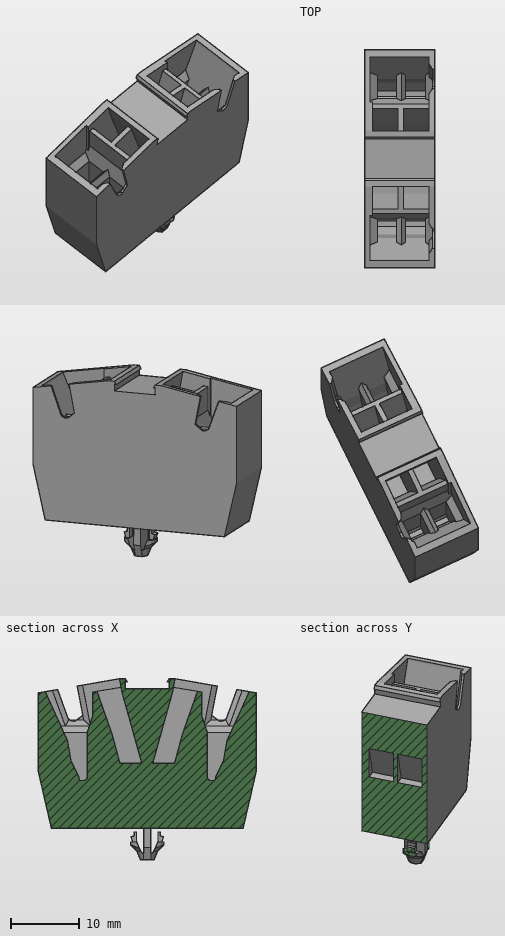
import cadquery as cq

WIDTH = 10.3
HALF_WIDTH = WIDTH / 2
HALF_LENGTH = 16.0
HALF_BASE = 14.08
TAPER_TOP = 8.32
SHOULDER = 19.9
HEIGHT = 22.0
FLAT_EDGE = 4.1
TROUGH_HALF = 3.2
TROUGH_FLOOR = 20.5
LIP_REACH = 0.3
LIP_DROP = 0.48

INNER_RIGHT = 4.3
CELL_LEFT = -3.97
ENTRY_LEFT = -4.4
RIB_LEFT, RIB_RIGHT = -0.22, 0.55
RIB_DEPTH = 1.28
CROSS_WALL_IN = 7.35
CELL_FLOOR = 9.6
CELL_KNEE = (3.7, 19.95)
CELL_FLOOR_IN = 0.83
CELL_RAMP_KNEE = (5.12, 13.75)
CELL_FLOOR_OUT = 4.0

ENTRY_STEP = 8.32
ENTRY_EDGE = 14.9
ENTRY_SLANT_TOP = (14.8, 19.78)
ENTRY_SLANT_END = (11.68, 12.85)
WALL_BEND = (8.03, 16.48)
WALL_LEAN_END = (8.83, 14.08)
RIDGE_X, RIDGE_TOP = 0.22, 15.0
THROAT_TOP = WALL_LEAN_END[1]
LEFT_THROAT = (-3.3, -0.45)
RIGHT_THROAT = (0.85, 3.78)

THROAT_BOTTOM = [(11.17, 9.92), (10.05, 7.6), (9.92, 7.05), (9.15, 7.05), (8.83, 7.35)]

NOTCH_MOUTH_X = 4.8
NOTCH_FLARE = 0.83
NOTCH_TOP_OUT = (13.15, 20.4)
NOTCH_LOW_OUT = (11.75, 16.55)
NOTCH_ARC_MIDDLE = (11.4, 15.95)
NOTCH_ARC_END = (10.6, 15.75)
NOTCH_LOW_IN = (9.47, 16.6)
NOTCH_TOP_IN = (10.3, 20.93)

FOOT_X = 2.55
FOOT_LENGTH = 4.6
STEM_THICKNESS = 1.1
STEM_HALF_WIDTH = 1.6
STEM_TAPER_START = 2.8
STEM_TIP_HALF = 1.0
TIP_RADIUS = 1.02
ARM_KNEE_RADIUS, ARM_KNEE = 1.55, 3.35
ARROW_RADIUS, BARB_TOP = 2.85, 2.0
ARM_SPAN = 4.93
ARM_INNER = [(0.7, 3.6), (1.0, 3.25), (1.57, 1.92)]
TAB_WIDTH = 1.3
TAB_OUTLINE = [(1.57, 2.1), (1.57, 0.5), (1.92, 0.5), (1.92, 1.05), (2.4, 1.2), (2.1, 2.1)]

CLEARANCE = 1.6
ABOVE = HEIGHT + CLEARANCE


def roof(y):
    """Height of the sloping roof at a distance y from the middle."""
    return HEIGHT - (HEIGHT - SHOULDER) * (y - FLAT_EDGE) / (HALF_LENGTH - FLAT_EDGE)


def along(start, end, level):
    """First coordinate of the line from start to end where the second one is level."""
    return start[0] + (end[0] - start[0]) * (level - start[1]) / (end[1] - start[1])


def prism(points, x_start, x_end):
    """Closed YZ outline extruded from x_start to x_end."""
    plane = cq.Workplane("YZ", origin=(x_start, 0, 0))
    return plane.polyline(points).close().extrude(x_end - x_start)


def mirrored_pair(half):
    return half.union(half.mirror("XZ"))


def housing():
    lip_z = HEIGHT - LIP_DROP
    half = [
        (HALF_BASE, 0),
        (HALF_LENGTH, TAPER_TOP),
        (HALF_LENGTH, SHOULDER),
        (FLAT_EDGE, HEIGHT),
        (TROUGH_HALF, HEIGHT),
        (TROUGH_HALF - LIP_REACH, lip_z),
        (TROUGH_HALF, lip_z),
        (TROUGH_HALF, TROUGH_FLOOR),
    ]
    other_half = [(-y, z) for y, z in reversed(half)]
    return prism(half + other_half, -HALF_WIDTH, HALF_WIDTH)


def screwdriver_cells():
    """Two leaning cells beside the crown, joined by the opening above the rib."""
    crown_edge = (FLAT_EDGE, HEIGHT)
    cell = [
        crown_edge,
        CELL_KNEE,
        (CELL_FLOOR_IN, CELL_FLOOR),
        (CELL_FLOOR_OUT, CELL_FLOOR),
        CELL_RAMP_KNEE,
        (CROSS_WALL_IN, roof(CROSS_WALL_IN) - RIB_DEPTH),
        (CROSS_WALL_IN, ABOVE),
        (FLAT_EDGE, ABOVE),
    ]
    rib_z = HEIGHT - RIB_DEPTH
    opening = [
        crown_edge,
        (along(crown_edge, CELL_KNEE, rib_z), rib_z),
        (WALL_BEND[0], roof(WALL_BEND[0]) - RIB_DEPTH),
        (WALL_BEND[0], ABOVE),
        (FLAT_EDGE, ABOVE),
    ]
    cells = prism(cell, CELL_LEFT, RIB_LEFT).union(prism(cell, RIB_RIGHT, INNER_RIGHT))
    return cells.union(prism(opening, CELL_LEFT, INNER_RIGHT))


def slant_y(z):
    """Y of the slanted outer wall of the wire entry at height z."""
    return along(ENTRY_SLANT_END, ENTRY_SLANT_TOP, z)


def lean_y(z):
    """Y of the leaning part of the cross wall at height z."""
    return along(WALL_LEAN_END, WALL_BEND, z)


def funnel(top_x, throat_x):
    """Tapered funnel from the ridge height down to a throat, with the throat below it."""
    def rectangle(x_range, z):
        x_low, x_high = x_range
        y_in, y_out = lean_y(z), slant_y(z)
        corners = [(x_low, y_in), (x_high, y_in), (x_high, y_out), (x_low, y_out)]
        return cq.Wire.makePolygon([cq.Vector(x, y, z) for x, y in corners], close=True)

    sections = [rectangle(top_x, RIDGE_TOP), rectangle(throat_x, THROAT_TOP)]
    taper = cq.Workplane(cq.Solid.makeLoft(sections, True))
    throat = [WALL_LEAN_END, (slant_y(THROAT_TOP), THROAT_TOP), ENTRY_SLANT_END] + THROAT_BOTTOM
    return taper.union(prism(throat, *throat_x))


def wire_entry():
    """Deep pocket at the outer end that splits into two funnels."""
    outer_wall = [
        (slant_y(RIDGE_TOP), RIDGE_TOP),
        ENTRY_SLANT_TOP,
        (ENTRY_EDGE, roof(ENTRY_EDGE)),
        (ENTRY_EDGE, ABOVE),
    ]
    ridge_in = (lean_y(RIDGE_TOP), RIDGE_TOP)
    pocket = prism(outer_wall + [(WALL_BEND[0], ABOVE), WALL_BEND, ridge_in], CELL_LEFT, INNER_RIGHT)
    step_z = along(WALL_BEND[::-1], WALL_LEAN_END[::-1], ENTRY_STEP)
    step = [(ENTRY_STEP, ABOVE), (ENTRY_STEP, step_z), ridge_in]
    recess = prism(outer_wall + step, ENTRY_LEFT, CELL_LEFT)
    left = funnel((ENTRY_LEFT, RIDGE_X), LEFT_THROAT)
    right = funnel((RIDGE_X, INNER_RIGHT), RIGHT_THROAT)
    return pocket.union(recess).union(left).union(right)


def side_notch():
    """Notch through the +X wall, flared inwards and bottomed by the funnel side inside."""
    heights = [THROAT_TOP, ABOVE]
    out_low, out_high = [along(NOTCH_LOW_OUT, NOTCH_TOP_OUT, z) for z in heights]
    in_low, in_high = [along(NOTCH_LOW_IN, NOTCH_TOP_IN, z) for z in heights]

    def flare_section(x, margin):
        corners = [
            (out_high + margin, ABOVE),
            (out_low + margin, THROAT_TOP),
            (in_low - margin, THROAT_TOP),
            (in_high - margin, ABOVE),
        ]
        return cq.Wire.makePolygon([cq.Vector(x, y, z) for y, z in corners], close=True)

    sections = [flare_section(INNER_RIGHT, NOTCH_FLARE), flare_section(NOTCH_MOUTH_X, 0)]
    flare = cq.Workplane(cq.Solid.makeLoft(sections, True))
    funnel_rise = (RIDGE_TOP - THROAT_TOP) / (INNER_RIGHT - RIGHT_THROAT[1])
    sill_z = THROAT_TOP + funnel_rise * (NOTCH_MOUTH_X - RIGHT_THROAT[1])
    above_funnel_outline = [
        (INNER_RIGHT, RIDGE_TOP),
        (NOTCH_MOUTH_X, sill_z),
        (NOTCH_MOUTH_X, ABOVE),
        (INNER_RIGHT, ABOVE),
    ]
    above_funnel = (
        cq.Workplane("XZ")
        .polyline(above_funnel_outline)
        .close()
        .extrude(-HALF_LENGTH)
    )
    mouth = (
        cq.Workplane("YZ", origin=(NOTCH_MOUTH_X, 0, 0))
        .moveTo(out_high, ABOVE)
        .lineTo(*NOTCH_LOW_OUT)
        .threePointArc(NOTCH_ARC_MIDDLE, NOTCH_ARC_END)
        .lineTo(*NOTCH_LOW_IN)
        .lineTo(in_high, ABOVE)
        .close()
        .extrude(HALF_WIDTH - NOTCH_MOUTH_X)
    )
    return flare.intersect(above_funnel).union(mouth)


def snap_foot():
    """Tapered stem with a conical arrow tip and two barbed spring arms."""
    stem_half = [
        (STEM_HALF_WIDTH, 0),
        (STEM_HALF_WIDTH, -STEM_TAPER_START),
        (STEM_TIP_HALF, -FOOT_LENGTH),
    ]
    stem_outline = stem_half + [(-x, z) for x, z in reversed(stem_half)]
    foot_plane = cq.Workplane("XZ", origin=(FOOT_X, 0, 0))
    stem = foot_plane.polyline(stem_outline).close().extrude(STEM_THICKNESS / 2, both=True)

    arrow = [
        (0, -FOOT_LENGTH),
        (TIP_RADIUS, -FOOT_LENGTH),
        (ARM_KNEE_RADIUS, -ARM_KNEE),
        (ARROW_RADIUS, -BARB_TOP),
        (0, -BARB_TOP),
    ]
    head = foot_plane.polyline(arrow).close().revolve(360, (0, 0), (0, 1))
    footprint = (
        cq.Workplane("XY", origin=(FOOT_X, 0, -FOOT_LENGTH))
        .slot2D(ARM_SPAN, 2 * STEM_HALF_WIDTH, 90)
        .extrude(FOOT_LENGTH)
    )
    head = head.intersect(footprint)

    stem_side = STEM_THICKNESS / 2
    gap_half = [(stem_side, -FOOT_LENGTH), (stem_side, -ARM_INNER[0][1])]
    gap_half += [(y, -depth) for y, depth in ARM_INNER]
    gap_half.append((ARM_INNER[-1][0], 0))
    gap = gap_half + [(-y, z) for y, z in reversed(gap_half)]
    head = head.cut(prism(gap, FOOT_X - ARROW_RADIUS, FOOT_X + ARROW_RADIUS))

    tab_outline = [(y, -depth) for y, depth in TAB_OUTLINE]
    tab = prism(tab_outline, FOOT_X - TAB_WIDTH / 2, FOOT_X + TAB_WIDTH / 2)
    return stem.union(head).union(mirrored_pair(tab))


openings = screwdriver_cells().union(wire_entry()).union(side_notch())
result = housing().cut(mirrored_pair(openings)).union(snap_foot())